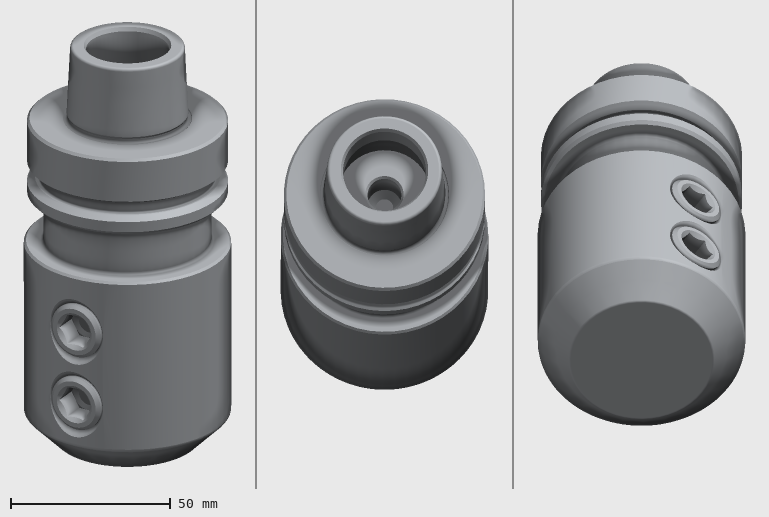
import cadquery as cq
import math

total_height = 135.0
shank_length = 25.0
flange_length = 26.0
head_length = 42.0
face_z = total_height - shank_length
flange_bottom_z = face_z - flange_length
body_top_z = face_z - head_length

body_radius = 32.5
body_top_chamfer = 0.7
nose_chamfer = 9.9
nose_upper_fillet = 1.5
nose_lower_fillet = 1.0

neck_radius = 26.3
neck_fillet = 1.0

flange_radius = 31.5
flange_top_chamfer = 0.8
flange_bottom_chamfer = 1.0
groove_distance = 18.0
groove_z = face_z - groove_distance
groove_width = 7.0
groove_radius = 27.6
groove_ledge_radius = 29.0
groove_fillet = 0.5
groove_side_angle = 30.0
groove_side_height = (flange_radius - groove_ledge_radius) * math.tan(math.radians(groove_side_angle))

taper_foot_height = 2.0
taper_foot_radius = 19.1
taper_per_length = 0.05
taper_foot_z = face_z + taper_foot_height
shank_top_radius = taper_foot_radius - taper_per_length * (total_height - taper_foot_z)
shank_top_fillet = 1.0
relief_radius = 18.7
relief_taper_height = 0.7
relief_fillet = 0.9
relief_depth = 0.2
relief_outer_radius = 20.2

bore_radius = 13.0
bore_chamfer = 0.7
bore_chamfer_angle = 30.0
bore_chamfer_height = bore_chamfer / math.tan(math.radians(bore_chamfer_angle))
bore_lip_depth = 10.0
chamber_radius = 14.5
chamber_depth = shank_length
chamber_floor_z = total_height - chamber_depth

centre_hole_radius = 5.3
centre_hole_chamfer = 0.7
centre_hole_depth = 12.0
centre_hole_tip_radius = 2.7
drill_point_angle = 118.0

screw_heights = (24.0, 49.0)
screw_radius = 9.0
screw_chamfer = 1.2
sink_radius = 11.1
sink_depth = sink_radius - screw_radius
socket_flats = 10.0
socket_corner_radius = socket_flats / math.sqrt(3)
socket_depth = 8.0
socket_mouth_radius = 6.3
socket_tip_radius = 3.6
screw_fill_depth = 5.0


def drill_point_height(outer_radius, tip_radius):
    """Height of a drill point cut off flat at tip_radius."""
    return (outer_radius - tip_radius) / math.tan(math.radians(drill_point_angle / 2))


def revolve_profile(points):
    """Revolve (radius, height) points about the Z axis."""
    return cq.Workplane("XZ").polyline(points).close().revolve(360, (0, 0, 0), (0, 1, 0))


def round_edge(solid, radius, z, fillet):
    """Fillet the full circular edge of the given radius at height z."""
    margin = 0.05
    box = cq.selectors.BoxSelector(
        (-radius - margin, -radius - margin, z - margin),
        (radius + margin, radius + margin, z + margin),
        boundingbox=True,
    )
    return solid.edges(box).edges("%CIRCLE").edges(cq.selectors.RadiusNthSelector(-1)).fillet(fillet)


def make_holder():
    groove_top_z = groove_z + groove_width / 2
    groove_bottom_z = groove_z - groove_width / 2
    lower_ledge_z = groove_bottom_z + groove_side_height
    upper_ledge_z = groove_top_z - groove_side_height
    nose_radius = body_radius - nose_chamfer
    relief_floor_z = face_z - relief_depth
    holder = revolve_profile([
        (0, 0),
        (nose_radius, 0),
        (body_radius, nose_chamfer),
        (body_radius, body_top_z - body_top_chamfer),
        (body_radius - body_top_chamfer, body_top_z),
        (neck_radius, body_top_z),
        (neck_radius, flange_bottom_z),
        (flange_radius - flange_bottom_chamfer, flange_bottom_z),
        (flange_radius, flange_bottom_z + flange_bottom_chamfer),
        (flange_radius, groove_bottom_z),
        (groove_ledge_radius, lower_ledge_z),
        (groove_radius, lower_ledge_z),
        (groove_radius, upper_ledge_z),
        (groove_ledge_radius, upper_ledge_z),
        (flange_radius, groove_top_z),
        (flange_radius, face_z - flange_top_chamfer),
        (flange_radius - flange_top_chamfer, face_z),
        (relief_outer_radius, face_z),
        (relief_outer_radius - relief_depth, relief_floor_z),
        (relief_radius, relief_floor_z),
        (relief_radius, taper_foot_z - relief_taper_height),
        (taper_foot_radius, taper_foot_z),
        (shank_top_radius, total_height),
        (0, total_height),
    ])
    holder = round_edge(holder, nose_radius, 0, nose_lower_fillet)
    holder = round_edge(holder, body_radius, nose_chamfer, nose_upper_fillet)
    holder = round_edge(holder, neck_radius, body_top_z, neck_fillet)
    holder = round_edge(holder, neck_radius, flange_bottom_z, neck_fillet)
    holder = round_edge(holder, groove_radius, lower_ledge_z, groove_fillet)
    holder = round_edge(holder, groove_radius, upper_ledge_z, groove_fillet)
    holder = round_edge(holder, relief_radius, relief_floor_z, relief_fillet)
    return round_edge(holder, shank_top_radius, total_height, shank_top_fillet)


def make_bore():
    lip_z = total_height - bore_lip_depth
    hole_bottom_z = chamber_floor_z - centre_hole_depth
    hole_tip_z = hole_bottom_z - drill_point_height(centre_hole_radius, centre_hole_tip_radius)
    return revolve_profile([
        (0, total_height),
        (bore_radius + bore_chamfer, total_height),
        (bore_radius, total_height - bore_chamfer_height),
        (bore_radius, lip_z),
        (chamber_radius, lip_z),
        (chamber_radius, chamber_floor_z),
        (centre_hole_radius + centre_hole_chamfer, chamber_floor_z),
        (centre_hole_radius, chamber_floor_z - centre_hole_chamfer),
        (centre_hole_radius, hole_bottom_z),
        (centre_hole_tip_radius, hole_tip_z),
        (0, hole_tip_z),
    ])


def make_screw_sink():
    """Ring of clearance between the conical sink and the chamfered screw end, facing +Z."""
    return revolve_profile([
        (screw_radius - screw_chamfer, 0),
        (sink_radius, 0),
        (screw_radius, -sink_depth),
        (screw_radius, -screw_chamfer),
    ])


def make_screw_socket():
    """Hexagon socket with a conical mouth and a drill point, facing +Z."""
    hexagon = cq.Workplane("XY").polygon(6, 2 * socket_corner_radius).extrude(-socket_depth)
    mouth_depth = socket_mouth_radius - socket_flats / 2
    mouth = revolve_profile([
        (0, 0),
        (socket_mouth_radius, 0),
        (socket_flats / 2, -mouth_depth),
        (0, -mouth_depth),
    ])
    tip_z = -socket_depth - drill_point_height(socket_flats / 2, socket_tip_radius)
    drill_point = revolve_profile([
        (0, -socket_depth),
        (socket_flats / 2, -socket_depth),
        (socket_tip_radius, tip_z),
        (0, tip_z),
    ])
    return hexagon.union(mouth).union(drill_point)


def place_on_front(tool, height):
    """Turn a tool that faces +Z to face -Y at the body surface."""
    return tool.rotate((0, 0, 0), (1, 0, 0), 90).translate((0, -body_radius, height))


def make_screw_end(height):
    """Screw end that fills the body out to its outermost line."""
    screw = cq.Workplane("XY").circle(screw_radius).extrude(-screw_fill_depth)
    return place_on_front(screw.faces(">Z").chamfer(screw_chamfer), height)


result = make_holder().cut(make_bore())
for screw_height in screw_heights:
    result = result.cut(place_on_front(make_screw_sink(), screw_height))
    result = result.union(make_screw_end(screw_height))
    result = result.cut(place_on_front(make_screw_socket(), screw_height))